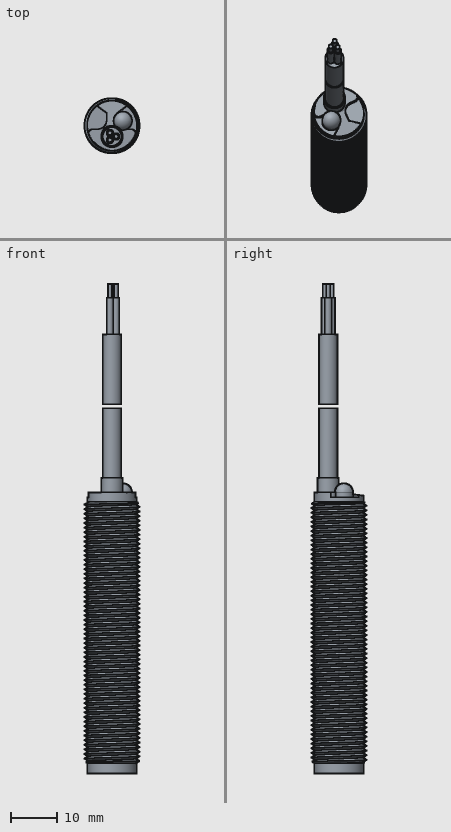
import cadquery as cq
import math

barrel_radius = 5.4
thread_diameter = 12.0
thread_bottom = 2.2
thread_top = 58.8
thread_turns = 56.6
root_radius = 5.2
thread_overrun = 2
plug_radius = 2.1
blank_clearance = 0.1
cap_top = 60.8

pocket_depth = 1.1
pocket_land_half_width = 1.2
pocket_land_end_y = 2.8
pocket_rim_x = 3.3
pocket_rim_y = 4.3
pocket_wall_y = -0.7
pocket_inner_radius = 1.9
pocket_outer_radius = 1.0
pocket_outer_x = 5.1
slope_start_y = 0.1
slope_angle = 7.3

dome_radius = 2.0
dome_x = 2.3
dome_y = 1.1

cable_y = -2.3
cable_radius = 2.0
boss_radius = 2.3
boss_top = 64.0
break_bottom = 79.1
break_top = 79.9
sheath_top = 95.1
wire_count = 3
wire_circle_radius = 0.88
wire_radius = 0.7
wire_top = 103.0
strand_radius = 0.48
strand_top = 106

thread_radius = thread_diameter / 2
thread_pitch = (thread_top - thread_bottom) / thread_turns
pocket_floor = cap_top - pocket_depth
cutter_reach = 2 * barrel_radius


def cylinder(radius, bottom, top, x=0, y=0):
    """Upright cylinder between two heights."""
    return cq.Workplane("XY", origin=(x, y, bottom)).circle(radius).extrude(top - bottom)


def helix_turn(radius, bottom):
    """One right-handed turn of the thread helix, starting over the +X axis."""
    wire = cq.Wire.makeHelix(thread_pitch, thread_pitch, radius)
    return wire.Edges()[0].translate(cq.Vector(0, 0, bottom))


def plug_faces(root, crest_point, plug_z):
    """Faces that close the thread skin at one end: a cone, its flat tip and the end of the ridge."""
    rim = cq.Edge.makeCircle(plug_radius, cq.Vector(0, 0, plug_z))
    corners = [rim.startPoint(), root.startPoint(), crest_point, root.endPoint()]
    return [
        cq.Face.makeRuledSurface(rim, root),
        cq.Face.makeFromWires(cq.Wire.assembleEdges([rim])),
        cq.Face.makeFromWires(cq.Wire.makePolygon(corners, close=True)),
    ]


def threaded_sleeve():
    """Thread section of the barrel: a sharp right-handed V thread with chamfered ends."""
    overrun = thread_overrun * thread_pitch
    skin_bottom = thread_bottom - overrun
    turns = math.ceil(thread_turns) + 2 * thread_overrun
    roots = [helix_turn(root_radius, skin_bottom + turn * thread_pitch) for turn in range(turns + 1)]
    crests = [helix_turn(thread_radius, skin_bottom + (turn + 0.5) * thread_pitch) for turn in range(turns)]
    faces = []
    for turn, crest in enumerate(crests):
        faces.append(cq.Face.makeRuledSurface(roots[turn], crest))
        faces.append(cq.Face.makeRuledSurface(crest, roots[turn + 1]))
    faces += plug_faces(roots[0], crests[0].startPoint(), skin_bottom - overrun)
    faces += plug_faces(roots[-1], crests[-1].endPoint(), thread_top + 2 * overrun)
    long_thread = cq.Workplane(cq.Solid.makeSolid(cq.Shell.makeShell(faces)))
    blank_radius = thread_radius + blank_clearance
    blank = cylinder(blank_radius, thread_bottom, thread_top).edges().chamfer(blank_radius - barrel_radius)
    return long_thread.intersect(blank, clean=False)


def pocket():
    """Cutter for the -X pocket of the end cap, open to the side and the top."""
    inner = pocket_inner_radius
    outer = pocket_outer_radius
    wall_x = -pocket_land_half_width
    arc_middle = inner * (1 - math.sqrt(0.5))
    round_middle = outer * (1 - math.sqrt(0.5))
    outline = (
        cq.Workplane("XY", origin=(0, 0, pocket_floor))
        .moveTo(-pocket_rim_x, pocket_rim_y)
        .lineTo(wall_x, pocket_land_end_y)
        .lineTo(wall_x, pocket_wall_y + inner)
        .threePointArc((wall_x - arc_middle, pocket_wall_y + arc_middle), (wall_x - inner, pocket_wall_y))
        .lineTo(-pocket_outer_x + outer, pocket_wall_y)
        .threePointArc(
            (-pocket_outer_x + round_middle, pocket_wall_y - round_middle),
            (-pocket_outer_x, pocket_wall_y - outer),
        )
        .lineTo(-pocket_outer_x, -barrel_radius)
        .lineTo(-cutter_reach, -barrel_radius)
        .lineTo(-cutter_reach, pocket_rim_y)
        .close()
    )
    return outline.extrude(cutter_reach)


def land_slope():
    """Cutter that slopes the top of the cap down toward +Y."""
    drop = cutter_reach * math.tan(math.radians(slope_angle))
    return (
        cq.Workplane("YZ")
        .moveTo(slope_start_y, cap_top)
        .lineTo(slope_start_y + cutter_reach, cap_top - drop)
        .lineTo(slope_start_y + cutter_reach, cap_top)
        .close()
        .extrude(cutter_reach, both=True)
    )


def indicator_dome():
    """Round post from the pocket floor with a hemispherical top."""
    post = cylinder(dome_radius, pocket_floor, cap_top, dome_x, dome_y)
    ball = cq.Workplane("XY", origin=(dome_x, dome_y, cap_top)).sphere(dome_radius)
    return post.union(ball)


def build_housing():
    """Threaded barrel with its end cap, dome, cable boss and lower length of cable."""
    cap = cylinder(barrel_radius, thread_top, cap_top)
    cap = cap.cut(land_slope())
    cap = cap.cut(pocket())
    cap = cap.cut(pocket().mirror("YZ"))
    cap = cap.union(indicator_dome())
    cap = cap.union(cylinder(boss_radius, pocket_floor, boss_top, y=cable_y))
    cap = cap.union(cylinder(cable_radius, boss_top, break_bottom, y=cable_y))
    front_end = cylinder(barrel_radius, 0, thread_bottom)
    return threaded_sleeve().union(front_end, clean=False).union(cap, clean=False)


def build_cable_end():
    """Upper length of cable with its insulated wires and their bare strands."""
    cable = cylinder(cable_radius, break_top, sheath_top, y=cable_y)
    for index in range(wire_count):
        angle = index * 2 * math.pi / wire_count
        x = wire_circle_radius * math.cos(angle)
        y = cable_y + wire_circle_radius * math.sin(angle)
        cable = cable.union(cylinder(wire_radius, sheath_top, wire_top, x, y))
        cable = cable.union(cylinder(strand_radius, wire_top, strand_top, x, y))
    return cable


housing = build_housing()
cable_end = build_cable_end()
result = cq.Compound.makeCompound([housing.val(), cable_end.val()])